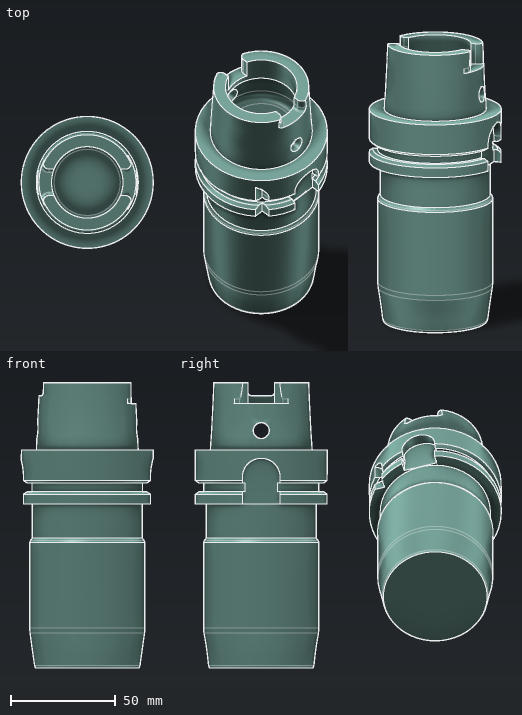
import cadquery as cq
import math


SHANK_LENGTH = 32.0
SHANK_BASE_RADIUS = 24.33
SHANK_TIP_RADIUS = 22.71

MOUTH_RADIUS = 34.05 / 2
MOUTH_DEPTH = 13.2
CHAMBER_RADIUS = 40.08 / 2
BORE_DEPTH = 30.1
BORE_FLOOR_RADIUS = 15.75
BORE_FLOOR_FILLET = CHAMBER_RADIUS - BORE_FLOOR_RADIUS

CROSS_HOLE_DIAMETER = 7.5
CROSS_HOLE_Z = 9.2

DRIVE_SLOT_WIDTH = 12.54
DRIVE_TIP_RADIUS = 2.8
DRIVE_RELIEF_RADIUS = 23.1
DRIVE_RELIEF_WIDTH = 25.6
LEFT_DRIVE_DEPTH = 6.15
RIGHT_DRIVE_DEPTH = 10.0
LEFT_DRIVE_FLOOR_FILLET = 1.6

FLANGE_RADIUS = 62.94 / 2
FLANGE_BOTTOM_Z = -25.85
GROOVE_RADIUS = 55.0 / 2
GROOVE_TOP_Z = -15.85
GROOVE_BOTTOM_Z = -19.85
GROOVE_CHAMFER_RADIAL = 1.8
GROOVE_CHAMFER_AXIAL = 1.3

KEYWAY_FLOOR = 26.4
LEFT_KEYWAY_WIDTH = 16.0
LEFT_KEYWAY_TOP_Z = -5.0
RIGHT_KEYWAY_WIDTH = 18.0
RIGHT_KEYWAY_TOP_Z = -4.0

NOTCH_FLOOR = 20.0
NOTCH_WIDTH = 18.0
NOTCH_WALL_Y = 19.6
NOTCH_TOP_Z = -4.0

NECK_RADIUS = 52.5 / 2
BODY_RADIUS = 55.0 / 2
NECK_END_Z = -42.0
SHOULDER_EDGE_RADIUS = 27.1
SHOULDER_EDGE_Z = -43.2
BODY_TOP_Z = -44.0
BODY_END_Z = -84.8
NOSE_ANGLE = math.radians(8.0)
NOSE_BLEND_RADIUS = 18.0
NOSE_EDGE_Z = -102.7
BOTTOM_Z = -103.9
NOSE_TIP_CHAMFER = 0.45

OUTSIDE = 2 * FLANGE_RADIUS


def blend_point(angle):
    """Point on the arc that leads from the cylindrical body into the conical nose."""
    radius = BODY_RADIUS - NOSE_BLEND_RADIUS * (1 - math.cos(angle))
    return radius, BODY_END_Z - NOSE_BLEND_RADIUS * math.sin(angle)


def make_outside():
    """Revolve the outer profile of shank, flange, neck, body and nose."""
    groove_lip_radius = FLANGE_RADIUS - GROOVE_CHAMFER_RADIAL
    cone_start = blend_point(NOSE_ANGLE)
    nose_edge_radius = cone_start[0] - (cone_start[1] - NOSE_EDGE_Z) * math.tan(NOSE_ANGLE)
    profile = (
        cq.Workplane("XZ")
        .moveTo(0, SHANK_LENGTH)
        .lineTo(SHANK_TIP_RADIUS, SHANK_LENGTH)
        .lineTo(SHANK_BASE_RADIUS, 0)
        .lineTo(FLANGE_RADIUS, 0)
        .lineTo(FLANGE_RADIUS, GROOVE_TOP_Z + GROOVE_CHAMFER_AXIAL)
        .lineTo(groove_lip_radius, GROOVE_TOP_Z)
        .lineTo(GROOVE_RADIUS, GROOVE_TOP_Z)
        .lineTo(GROOVE_RADIUS, GROOVE_BOTTOM_Z)
        .lineTo(groove_lip_radius, GROOVE_BOTTOM_Z)
        .lineTo(FLANGE_RADIUS, GROOVE_BOTTOM_Z - GROOVE_CHAMFER_AXIAL)
        .lineTo(FLANGE_RADIUS, FLANGE_BOTTOM_Z)
        .lineTo(NECK_RADIUS, FLANGE_BOTTOM_Z)
        .lineTo(NECK_RADIUS, NECK_END_Z)
        .lineTo(SHOULDER_EDGE_RADIUS, SHOULDER_EDGE_Z)
        .lineTo(BODY_RADIUS, BODY_TOP_Z)
        .lineTo(BODY_RADIUS, BODY_END_Z)
        .threePointArc(blend_point(NOSE_ANGLE / 2), cone_start)
        .lineTo(nose_edge_radius, NOSE_EDGE_Z)
        .lineTo(nose_edge_radius - NOSE_TIP_CHAMFER, BOTTOM_Z)
        .lineTo(0, BOTTOM_Z)
        .close()
    )
    return profile.revolve(360, (0, 0, 0), (0, 1, 0))


def make_bore():
    """Clamping bore: narrow mouth opening into a wider chamber with a rounded floor corner."""
    chamber_depth = BORE_DEPTH - MOUTH_DEPTH
    chamber = (
        cq.Workplane("XY", origin=(0, 0, SHANK_LENGTH - BORE_DEPTH))
        .circle(CHAMBER_RADIUS)
        .extrude(chamber_depth)
        .faces("<Z")
        .edges()
        .fillet(BORE_FLOOR_FILLET)
    )
    mouth = (
        cq.Workplane("XY", origin=(0, 0, SHANK_LENGTH - MOUTH_DEPTH))
        .circle(MOUTH_RADIUS)
        .extrude(MOUTH_DEPTH)
    )
    return chamber.union(mouth)


def make_cross_hole():
    """Radial hole along X through both shank walls."""
    return (
        cq.Workplane("YZ", origin=(-OUTSIDE, 0, 0))
        .center(0, CROSS_HOLE_Z)
        .circle(CROSS_HOLE_DIAMETER / 2)
        .extrude(2 * OUTSIDE)
    )


def polar(radius, angle):
    """XY point at a distance and an angle from the Z axis."""
    return radius * math.cos(angle), radius * math.sin(angle)


def borders_shank_wall(edge):
    """True for the slot floor edges along the side wall, the rounded tip and the relief arc."""
    middle = edge.Center()
    is_inside_relief = math.hypot(middle.x, middle.y) < DRIVE_RELIEF_RADIUS
    lies_off_axes = min(middle.x, middle.y) > DRIVE_TIP_RADIUS / 2
    return is_inside_relief and lies_off_axes


def make_drive_slot(depth, floor_fillet=0.0):
    """Slot towards +X; each side wall rounds over into a relief arc tangent to the rounding."""
    half_width = DRIVE_SLOT_WIDTH / 2
    tip_y = half_width + DRIVE_TIP_RADIUS
    tip_angle = math.asin(tip_y / (DRIVE_RELIEF_RADIUS - DRIVE_TIP_RADIUS))
    tip_x = tip_y / math.tan(tip_angle)
    end_angle = math.asin(DRIVE_RELIEF_WIDTH / 2 / DRIVE_RELIEF_RADIUS)

    tip_middle_x, tip_middle_y = polar(DRIVE_TIP_RADIUS, (tip_angle - math.pi / 2) / 2)
    tip_end = polar(DRIVE_RELIEF_RADIUS, tip_angle)
    relief_middle = polar(DRIVE_RELIEF_RADIUS, (tip_angle + end_angle) / 2)
    relief_end = polar(DRIVE_RELIEF_RADIUS, end_angle)
    half_slot = (
        cq.Workplane("XY", origin=(0, 0, SHANK_LENGTH - depth))
        .lineTo(0, half_width)
        .lineTo(tip_x, half_width)
        .threePointArc((tip_x + tip_middle_x, tip_y + tip_middle_y), tip_end)
        .threePointArc(relief_middle, relief_end)
        .lineTo(*polar(OUTSIDE, end_angle))
        .lineTo(OUTSIDE, 0)
        .close()
        .extrude(depth)
    )
    if floor_fillet:
        floor_edges = half_slot.faces("<Z").edges()
        half_slot = floor_edges.filter(borders_shank_wall).fillet(floor_fillet)
    return half_slot.union(half_slot.mirror("XZ"))


def make_rim_slot(floor, width, center_y, top_z):
    """Slot milled in along X from +X: round upper end, open at the underside of the flange."""
    radius = width / 2
    return (
        cq.Workplane("YZ", origin=(floor, 0, 0))
        .moveTo(center_y - radius, FLANGE_BOTTOM_Z)
        .lineTo(center_y - radius, top_z - radius)
        .threePointArc((center_y, top_z), (center_y + radius, top_z - radius))
        .lineTo(center_y + radius, FLANGE_BOTTOM_Z)
        .close()
        .extrude(OUTSIDE)
    )


def on_left(cutter):
    """Mirror a cutter made for the +X side over to the -X side."""
    return cutter.mirror("YZ")


left_keyway = make_rim_slot(KEYWAY_FLOOR, LEFT_KEYWAY_WIDTH, 0, LEFT_KEYWAY_TOP_Z)
right_keyway = make_rim_slot(KEYWAY_FLOOR, RIGHT_KEYWAY_WIDTH, 0, RIGHT_KEYWAY_TOP_Z)
notch = make_rim_slot(NOTCH_FLOOR, NOTCH_WIDTH, NOTCH_WALL_Y + NOTCH_WIDTH / 2, NOTCH_TOP_Z)

result = make_outside().cut(make_bore()).cut(make_cross_hole())
result = result.cut(on_left(make_drive_slot(LEFT_DRIVE_DEPTH, LEFT_DRIVE_FLOOR_FILLET)))
result = result.cut(make_drive_slot(RIGHT_DRIVE_DEPTH))
result = result.cut(on_left(left_keyway)).cut(right_keyway).cut(on_left(notch))